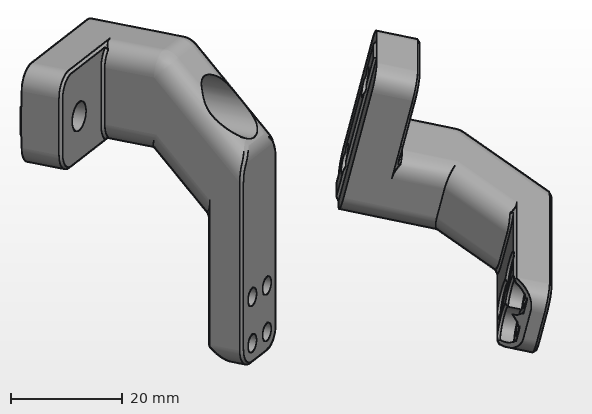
import cadquery as cq
import math

plate_thickness = 8.0
plate_width = 30.0
plate_top = 10.0
plate_bottom = -9.0
corner_radius = 4.0
edge_chamfer = 0.5
bevel_angle = 45.0

key_height = 0.5
key_width = 6.2

screw_offset = 8.0
screw_hole_diameter = 5.5
access_bore_diameter = 10.0

arm_width = 13.8
front_x = 36.0
slope_angle = 45.0
slope_outer_sum = 30.0
slope_inner_sum = 8.13
shoulder_radius = 4.8
shoulder_break_angle = 8.0

leg_thickness = 7.0
leg_bottom = -47.73
leg_inner_x = front_x - leg_thickness
toe_chamfer = 4.0

leg_hole_diameter = 3.4
leg_hole_spacing = arm_width - 2 * corner_radius
leg_row_spacing = 9.0
leg_bore_diameter = 6.3
leg_bore_depth = 3.0
bore_floor_chamfer = 0.4
first_row_z = leg_bottom + corner_radius

arm_max_y = plate_width / 2
arm_min_y = arm_max_y - arm_width
arm_y = (arm_min_y + arm_max_y) / 2
plate_height = plate_top - plate_bottom
plate_mid_z = (plate_top + plate_bottom) / 2

slope_inset = corner_radius * math.sqrt(2)
leg_top_z = slope_inner_sum + slope_inset - leg_inner_x


def cylinder(x_start, x_end, y, z, diameter):
    plane = cq.Workplane("YZ", origin=(x_start, y, z))
    return plane.circle(diameter / 2).extrude(x_end - x_start)


def slab(x_start, x_end):
    """Layer between two X positions, large enough to cover the whole part in Y and Z."""
    size = 2 * (plate_top - leg_bottom)
    plane = cq.Workplane("YZ", origin=(x_start, 0, 0))
    return plane.rect(size, size).extrude(x_end - x_start)


def rounded_block(x_start, x_end, y, width, height, radius):
    """Block along X with rounded long edges, centred on the height of the plate."""
    plane = cq.Workplane("YZ", origin=(x_start, y, plate_mid_z))
    return plane.rect(width, height).extrude(x_end - x_start).edges("|X").fillet(radius)


def extrude_along_y(points):
    """Extrude an XZ outline over the width of the arm."""
    plane = cq.Workplane("XZ", origin=(0, arm_max_y, 0))
    return plane.polyline(points).close().extrude(arm_width)


def make_plate():
    """Rounded plate with bevelled front edges, and a bevelled collar where the arm leaves it.

    The bevel of the plate carries on forward over the collar and trims it.
    """
    collar_end = plate_thickness + edge_chamfer
    envelope = rounded_block(0, collar_end, 0, plate_width, plate_height, corner_radius)
    envelope = envelope.faces(">X").chamfer(2 * edge_chamfer)

    foot = cq.Sketch().rect(arm_width + 2 * edge_chamfer, plate_height + 2 * edge_chamfer)
    foot = foot.vertices().fillet(corner_radius + edge_chamfer)
    collar_plane = cq.Workplane("YZ", origin=(plate_thickness, arm_y, plate_mid_z))
    collar = collar_plane.placeSketch(foot).extrude(edge_chamfer, taper=bevel_angle)

    return envelope.intersect(slab(0, plate_thickness).union(collar))


def make_key():
    """Key across the whole back of the plate, its sides sloping at the bevel angle."""
    back = cq.Workplane("YZ").rect(plate_width, key_width)
    return back.extrude(-key_height, taper=bevel_angle)


def trim_envelope():
    """Space behind the front face and under the outer slope, with an arc easing one into the other.

    The arc is tangent to the front face and meets the slope at a very blunt edge.
    """
    start_angle = math.radians(slope_angle - shoulder_break_angle)
    centre_x = front_x - shoulder_radius
    slope_x = centre_x + shoulder_radius * math.cos(start_angle)
    slope_z = slope_outer_sum - slope_x
    centre_z = slope_z - shoulder_radius * math.sin(start_angle)
    middle = (
        centre_x + shoulder_radius * math.cos(start_angle / 2),
        centre_z + shoulder_radius * math.sin(start_angle / 2),
    )
    outline = cq.Workplane("XZ", origin=(0, arm_max_y, 0)).moveTo(0, slope_outer_sum)
    outline = outline.lineTo(slope_x, slope_z).threePointArc(middle, (front_x, centre_z))
    outline = outline.lineTo(front_x, leg_bottom).lineTo(0, leg_bottom).close()
    return outline.extrude(arm_width)


def make_arm():
    """Arm with rounded long edges, trimmed flat at both ends."""
    overrun = 3 * corner_radius
    back = -overrun
    end = front_x + overrun
    outline = [
        (back, plate_top),
        (slope_outer_sum - plate_top, plate_top),
        (end, slope_outer_sum - end),
        (end, slope_inner_sum - end),
        (slope_inner_sum - plate_bottom, plate_bottom),
        (back, plate_bottom),
    ]
    blank = extrude_along_y(outline)
    bend = cq.selectors.NearestToPointSelector((slope_outer_sum - plate_top, arm_y, plate_top))
    blank = blank.edges("|Y").edges(bend).fillet(corner_radius)
    blank = blank.faces("<Y or >Y").edges().fillet(corner_radius)
    return blank.intersect(trim_envelope())


def arm_foot_outline(x, growth, rise):
    """YZ outline round the lower part of the sloping arm where it enters the leg.

    The outline is widened by growth on each side and its bottom is lifted by rise.
    """
    width_radius = corner_radius + growth
    height_radius = slope_inset - rise
    start = (arm_min_y - growth, leg_top_z)
    plane = cq.Workplane("YZ", origin=(x, 0, 0)).moveTo(*start)
    outline = plane.ellipseArc(width_radius, height_radius, 180, 270)
    outline = outline.lineTo(arm_max_y - corner_radius, leg_top_z - height_radius)
    outline = outline.ellipseArc(width_radius, height_radius, 270, 360)
    return outline.close().val()


def make_leg():
    """Leg with a rounded lower end, bevelled inner edges and a bevelled collar under the arm.

    The bevel of the inner edges carries on over the collar and trims it.
    The top of the leg stays within the flat sides of the arm.
    """
    collar_end = leg_inner_x - edge_chamfer
    outline = [
        (collar_end, leg_bottom),
        (front_x, leg_bottom),
        (front_x, slope_outer_sum - slope_inset - front_x),
        (collar_end, leg_top_z + edge_chamfer),
    ]
    envelope = extrude_along_y(outline)
    envelope = envelope.faces("<Z").edges("|X").fillet(corner_radius)
    envelope = envelope.faces("<X").edges("not >Z").chamfer(2 * edge_chamfer)

    collar_climb = edge_chamfer * (1 + math.sqrt(2))
    foot = arm_foot_outline(leg_inner_x, edge_chamfer, -edge_chamfer)
    crown = arm_foot_outline(collar_end, 0, collar_climb - edge_chamfer)
    collar = cq.Workplane(cq.Solid.makeLoft([foot, crown], True))

    return envelope.intersect(slab(leg_inner_x, front_x).union(collar))


def make_arm_and_leg():
    """Arm and leg as one body, its front face bevelled all round and its toe cut back at 45 degrees."""
    body = make_arm().union(make_leg())
    body = body.faces(">X").chamfer(edge_chamfer)
    toe = [
        (leg_inner_x, leg_bottom),
        (leg_inner_x + toe_chamfer, leg_bottom),
        (leg_inner_x, leg_bottom + toe_chamfer),
    ]
    return body.cut(extrude_along_y(toe))


def make_leg_hole(y, z, bevelled_floor):
    """Cutter for a through hole with a counterbore whose mouth, and optionally floor, is bevelled."""
    floor_x = leg_inner_x + leg_bore_depth
    bore = cylinder(leg_inner_x, floor_x, y, z, leg_bore_diameter)
    if bevelled_floor:
        bore = bore.faces(">X").chamfer(bore_floor_chamfer)

    mouth_plane = cq.Workplane("YZ", origin=(leg_inner_x, y, z))
    mouth = mouth_plane.circle(leg_bore_diameter / 2 + edge_chamfer).extrude(edge_chamfer, taper=bevel_angle)
    return bore.union(mouth).union(cylinder(leg_inner_x, front_x, y, z, leg_hole_diameter))


def cut_plate_screws(body):
    """Two screw holes through the plate, and the bore along the arm that gives access to one of them."""
    for side in (-1, 1):
        body = body.cut(cylinder(-key_height, plate_thickness, side * screw_offset, 0, screw_hole_diameter))
    return body.cut(cylinder(plate_thickness, front_x, screw_offset, 0, access_bore_diameter))


def cut_leg_holes(body):
    """Two rows of two leg holes; the upper hole nearer -Y has a bevelled counterbore floor."""
    for row in range(2):
        for side in (-1, 1):
            y = arm_y + side * leg_hole_spacing / 2
            z = first_row_z + row * leg_row_spacing
            bevelled_floor = row == 1 and side == -1
            body = body.cut(make_leg_hole(y, z, bevelled_floor))
    return body


body = make_arm_and_leg().union(make_plate()).union(make_key())
result = cut_leg_holes(cut_plate_screws(body))